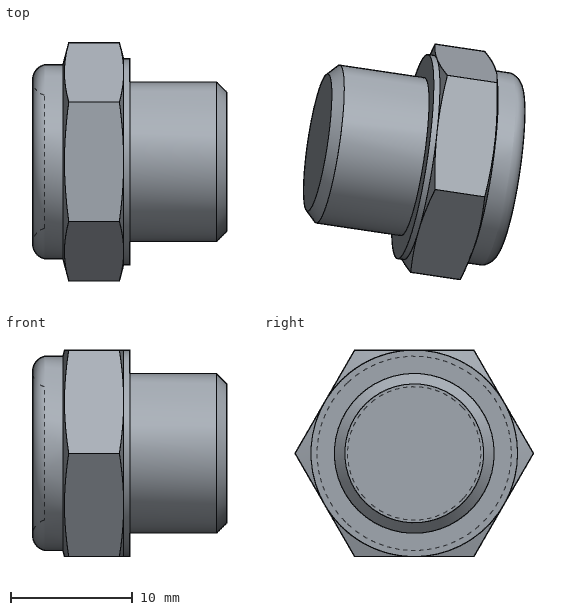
import cadquery as cq
import math

hex_start = 2.5
hex_end = 7.5
collar_end = 8.0
total_length = 16.0

cap_diameter = 16.0
across_corners = 19.63
across_flats = across_corners * math.cos(math.radians(30))
collar_diameter = across_flats
shank_diameter = 13.15

bead_depth = 1.0
bead_half_width = 1.25
hex_chamfer_angle = 15.0
shank_chamfer = 0.86

cap_radius = cap_diameter / 2
corner_radius = across_corners / 2


def cylinder_along_x(start, end, diameter):
    return cq.Workplane("YZ", origin=(start, 0, 0)).circle(diameter / 2).extrude(end - start)


def revolve_about_x(half_profile):
    return half_profile.close().revolve(360, (0, 0, 0), (1, 0, 0))


def make_cap():
    """Cap with a rounded rim bead surrounding a shallow flat recess."""
    crest_radius = cap_radius - bead_half_width
    floor_radius = crest_radius - bead_half_width
    profile = (
        cq.Workplane("XY")
        .moveTo(bead_depth, 0)
        .lineTo(bead_depth, floor_radius)
        .threePointArc((0, crest_radius), (bead_depth, cap_radius))
        .lineTo(hex_start, cap_radius)
        .lineTo(hex_start, 0)
    )
    return revolve_about_x(profile)


def make_hex():
    """Hexagon with corners on the Y axis, both ends trimmed by shallow cones."""
    prism = (
        cq.Workplane("YZ", origin=(hex_start, 0, 0))
        .polygon(6, across_corners)
        .extrude(hex_end - hex_start)
    )
    slope = math.tan(math.radians(hex_chamfer_angle))
    collar_radius = collar_diameter / 2
    cap_side_drop = (corner_radius - cap_radius) * slope
    collar_side_drop = (corner_radius - collar_radius) * slope
    envelope = (
        cq.Workplane("XY")
        .moveTo(hex_start, 0)
        .lineTo(hex_start, cap_radius)
        .lineTo(hex_start + cap_side_drop, corner_radius)
        .lineTo(hex_end - collar_side_drop, corner_radius)
        .lineTo(hex_end, collar_radius)
        .lineTo(hex_end, 0)
    )
    return prism.intersect(revolve_about_x(envelope))


collar = cylinder_along_x(hex_end, collar_end, collar_diameter)
shank = cylinder_along_x(collar_end, total_length, shank_diameter).faces(">X").chamfer(shank_chamfer)

result = make_cap().union(make_hex()).union(collar).union(shank)